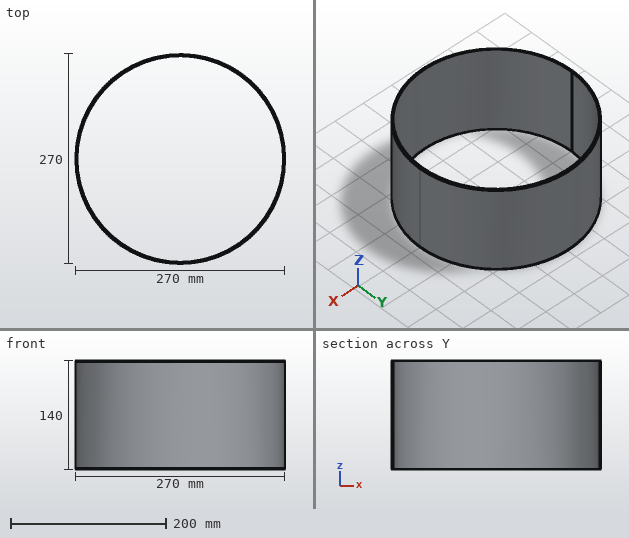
import cadquery as cq

outer_diameter = 270.0
height = 140.0
wall = 2.5
bevel_height = 2.0
bevel_depth = 0.68
inner_chamfer = 0.4
slit_width = 2.2
slit_center_y = slit_width / 2

outer_radius = outer_diameter / 2
inner_radius = outer_radius - wall
outer_rim_radius = outer_radius - bevel_depth
inner_rim_radius = inner_radius + inner_chamfer
half_height = height / 2
bevel_start = half_height - bevel_height
chamfer_start = half_height - inner_chamfer


def make_ring():
    """Revolve the wall section, bevelled at all four rims, about Z."""
    section = [
        (inner_radius, -chamfer_start),
        (inner_rim_radius, -half_height),
        (outer_rim_radius, -half_height),
        (outer_radius, -bevel_start),
        (outer_radius, bevel_start),
        (outer_rim_radius, half_height),
        (inner_rim_radius, half_height),
        (inner_radius, chamfer_start),
    ]
    profile = cq.Workplane("XZ").polyline(section).close()
    return profile.revolve(360, (0, 0, 0), (0, 1, 0))


def make_slit():
    """Full-height cutter that opens the wall on the -X side only."""
    slit_length = 4 * wall
    cutter = cq.Workplane("XY").box(slit_length, slit_width, 2 * height)
    return cutter.translate((-outer_radius, slit_center_y, 0))


result = make_ring().cut(make_slit())